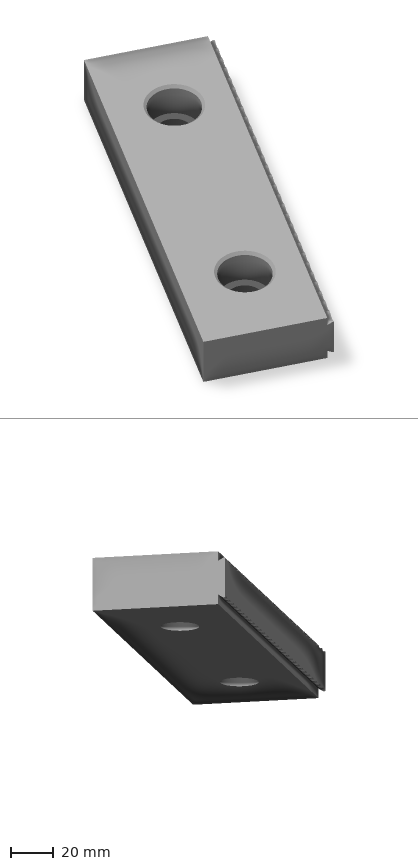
import cadquery as cq
import math

length = 203.0
width = 63.5
height = 25.4

tongue_reach = 3.2
tongue_tip_height = 19.0
tongue_flank_angle = 30.0
tip_land = 0.8
body_width = width - tongue_reach
flank_slope = math.tan(math.radians(tongue_flank_angle))

flute_count = 29
flute_pitch = length / flute_count
flute_width = 5.5
flute_length = 2.5

hole_spacing = 120.0
hole_from_front = 32.0
bore_diameter = 18.0
counterbore_diameter = 26.0
counterbore_depth = 17.0
mouth_chamfer = 1.5


def make_bar():
    """Extrude the body and tongue profile along X, centred on X = 0."""
    middle = height / 2
    tip = tongue_tip_height / 2
    root = tip - (tongue_reach - tip_land) * flank_slope
    profile = [
        (0, 0),
        (body_width, 0),
        (body_width, middle - root),
        (width - tip_land, middle - tip),
        (width, middle - tip),
        (width, middle + tip),
        (width - tip_land, middle + tip),
        (body_width, middle + root),
        (body_width, height),
        (0, height),
    ]
    return cq.Workplane("YZ").polyline(profile).close().extrude(length / 2, both=True)


def make_flutes():
    """Cylinders along Y that scoop the upper and lower edges of the tongue tip."""
    depth = (flute_length - tip_land) * flank_slope
    radius = ((flute_width / 2) ** 2 + depth ** 2) / (2 * depth)
    axis_offset = tongue_tip_height / 2 - depth + radius
    first_x = -flute_pitch * (flute_count - 1) / 2
    flutes = cq.Workplane("XY")
    for index in range(flute_count):
        for side in (-1, 1):
            flute = cq.Workplane("XZ").circle(radius).extrude(tongue_reach)
            x = first_x + index * flute_pitch
            flutes = flutes.add(flute.translate((x, width, height / 2 + side * axis_offset)))
    return flutes.combine()


def make_bolt_hole(x):
    """Stepped cutter: through bore, counterbore from the top and mouth chamfer."""
    bore_radius = bore_diameter / 2
    counterbore_radius = counterbore_diameter / 2
    section = [
        (0, 0),
        (bore_radius, 0),
        (bore_radius, height - counterbore_depth),
        (counterbore_radius, height - counterbore_depth),
        (counterbore_radius, height - mouth_chamfer),
        (counterbore_radius + mouth_chamfer, height),
        (0, height),
    ]
    cutter = cq.Workplane("XZ").polyline(section).close().revolve(360, (0, 0, 0), (0, 1, 0))
    return cutter.translate((x, hole_from_front, 0))


result = make_bar().cut(make_flutes())
for hole_x in (-hole_spacing / 2, hole_spacing / 2):
    result = result.cut(make_bolt_hole(hole_x))